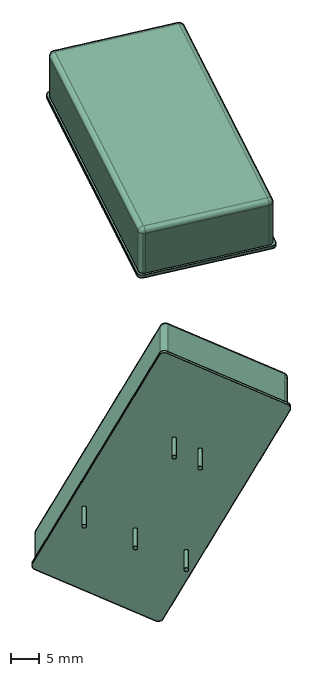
import cadquery as cq

flange_length = 51.6
flange_width = 26.0
flange_thickness = 0.65
flange_corner_radius = 1.0

total_height = 17.0
pin_length = 5.9
case_top = total_height - pin_length
flange_ledge = 0.385
case_length = flange_length - 2 * flange_ledge
case_width = flange_width - 2 * flange_ledge
case_corner_radius = 1.05
case_top_radius = 1.0

pin_diameter = 0.8
pin_row_x = 10.15
outer_pin_y = 10.15
inner_pin_y = 2.6
pin_positions = [
    (-pin_row_x, -inner_pin_y),
    (-pin_row_x, inner_pin_y),
    (pin_row_x, -outer_pin_y),
    (pin_row_x, 0),
    (pin_row_x, outer_pin_y),
]


def make_housing():
    """Rounded case and its projecting base flange, as one solid."""
    flange = (
        cq.Workplane("XY")
        .rect(flange_length, flange_width)
        .extrude(flange_thickness)
        .edges("|Z")
        .fillet(flange_corner_radius)
    )
    case = (
        cq.Workplane("XY")
        .rect(case_length, case_width)
        .extrude(case_top)
        .edges("|Z")
        .fillet(case_corner_radius)
        .faces(">Z")
        .edges()
        .fillet(case_top_radius)
    )
    return flange.union(case)


def make_pin(x, y):
    """Round pin hanging from the underside of the flange."""
    return cq.Workplane("XY").center(x, y).circle(pin_diameter / 2).extrude(-pin_length)


housing = make_housing()
pins = [make_pin(x, y) for x, y in pin_positions]

result = cq.Compound.makeCompound([housing.val(), *[pin.val() for pin in pins]])